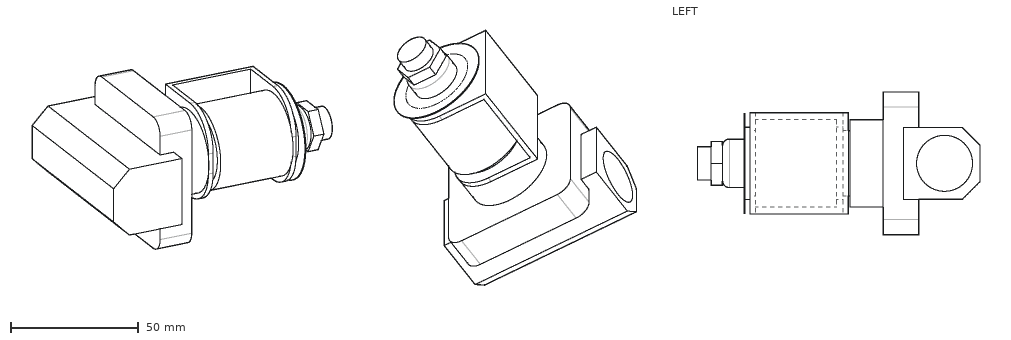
import cadquery as cq
import math

BLOCK_WIDTH = 70.0
BLOCK_DEPTH = 30.0
BLOCK_HEIGHT = 28.1
BLOCK_CHAMFER = 7.0
BORE_DIAMETER = 21.9
BORE_Y = 13.9
BORE_DEPTH = 12.6

FLANGE_SIZE = 56.0
FLANGE_FRONT_Y = 24.0
FLANGE_BACK_Y = 37.9
FLANGE_CORNER_RADIUS = 6.0

BRACKET_FRONT_Y = 51.5
BRACKET_BACK_Y = 90.0
BRACKET_THICKNESS = 2.1
BRACKET_HEIGHT = 39.7
BRACKET_LEFT_X = -21.3
BRACKET_END_X = 15.6
BRACKET_CORNER_RADIUS = BRACKET_END_X
BRACKET_FRONT_INNER_Y = BRACKET_FRONT_Y + BRACKET_THICKNESS
BRACKET_BACK_INNER_Y = BRACKET_BACK_Y - BRACKET_THICKNESS

COLLAR_DIAMETER = 34.3
COLLAR_BACK_Y = 51.0
CORE_DIAMETER = 25.7
NECK_DIAMETER = 28.4
COIL_DIAMETER = COLLAR_DIAMETER
COIL_FRONT_Y = 56.2
COIL_BACK_Y = BRACKET_BACK_INNER_Y
DISC_DIAMETER = 39.0
DISC_FRONT_Y = 91.9
DISC_BACK_Y = 92.4
BOSS_DIAMETER = 19.0
BOSS_BACK_Y = 100.8
BOSS_FILLET = 2.7
NUT_ACROSS_FLATS = 17.1
NUT_BACK_Y = 105.2
TIP_DIAMETER = 13.2
TIP_BACK_Y = 110.6


def plane_at(y):
    """Plane normal to +Y at the given Y, with its local x along -X."""
    return cq.Plane(origin=(0, y, 0), xDir=(-1, 0, 0), normal=(0, 1, 0))


def cylinder(diameter, front_y, back_y):
    return cq.Workplane(plane_at(front_y)).circle(diameter / 2).extrude(back_y - front_y)


def make_block():
    block = cq.Workplane("XY").box(BLOCK_WIDTH, BLOCK_DEPTH, BLOCK_HEIGHT)
    block = block.translate((0, BLOCK_DEPTH / 2, 0))
    return block.faces("<Y").edges("|X").chamfer(BLOCK_CHAMFER)


def make_bore():
    """Blind bore entering the block from its -X end."""
    left_end = cq.Workplane("YZ", origin=(-BLOCK_WIDTH / 2, 0, 0))
    return left_end.center(BORE_Y, 0).circle(BORE_DIAMETER / 2).extrude(BORE_DEPTH)


def make_flange():
    flange = cq.Workplane(plane_at(FLANGE_FRONT_Y)).rect(FLANGE_SIZE, FLANGE_SIZE)
    flange = flange.extrude(FLANGE_BACK_Y - FLANGE_FRONT_Y)
    return flange.edges("|Y").fillet(FLANGE_CORNER_RADIUS)


def make_boss():
    boss = cylinder(BOSS_DIAMETER, DISC_BACK_Y, BOSS_BACK_Y)
    return boss.faces(">Y").edges().fillet(BOSS_FILLET)


def make_nut():
    """Hexagon with two corners on the X axis."""
    across_corners = NUT_ACROSS_FLATS / math.cos(math.pi / 6)
    nut = cq.Workplane(plane_at(BOSS_BACK_Y)).polygon(6, across_corners)
    return nut.extrude(NUT_BACK_Y - BOSS_BACK_Y)


def make_valve():
    valve = make_block().union(make_flange()).cut(make_bore())
    steps = [
        cylinder(COLLAR_DIAMETER, FLANGE_BACK_Y, COLLAR_BACK_Y),
        cylinder(CORE_DIAMETER, COLLAR_BACK_Y, BRACKET_FRONT_INNER_Y),
        cylinder(NECK_DIAMETER, BRACKET_FRONT_INNER_Y, COIL_FRONT_Y),
        cylinder(COIL_DIAMETER, COIL_FRONT_Y, COIL_BACK_Y),
        cylinder(CORE_DIAMETER, COIL_BACK_Y, BRACKET_BACK_Y),
        cylinder(NECK_DIAMETER, BRACKET_BACK_Y, DISC_FRONT_Y),
        cylinder(DISC_DIAMETER, DISC_FRONT_Y, DISC_BACK_Y),
        make_boss(),
        make_nut(),
        cylinder(TIP_DIAMETER, NUT_BACK_Y, TIP_BACK_Y),
    ]
    for step in steps:
        valve = valve.union(step)
    return valve


def make_bracket():
    """Block with rounded +X edges, hollowed into a U and bored for the core."""
    bracket = cq.Workplane("XY").box(
        BRACKET_END_X - BRACKET_LEFT_X,
        BRACKET_BACK_Y - BRACKET_FRONT_Y,
        BRACKET_HEIGHT,
        centered=(False, False, True),
    )
    bracket = bracket.translate((BRACKET_LEFT_X, BRACKET_FRONT_Y, 0))
    bracket = bracket.faces(">X").edges("|Y").fillet(BRACKET_CORNER_RADIUS)
    opening = cq.Workplane("XY").box(
        BRACKET_END_X - BRACKET_LEFT_X,
        BRACKET_BACK_INNER_Y - BRACKET_FRONT_INNER_Y,
        BRACKET_HEIGHT,
        centered=(False, False, True),
    )
    opening = opening.translate((BRACKET_LEFT_X + BRACKET_THICKNESS, BRACKET_FRONT_INNER_Y, 0))
    core_hole = cylinder(CORE_DIAMETER, BRACKET_FRONT_Y, BRACKET_BACK_Y)
    return bracket.cut(opening).cut(core_hole)


valve = make_valve()
bracket = make_bracket()
result = cq.Compound.makeCompound([valve.val(), bracket.val()])